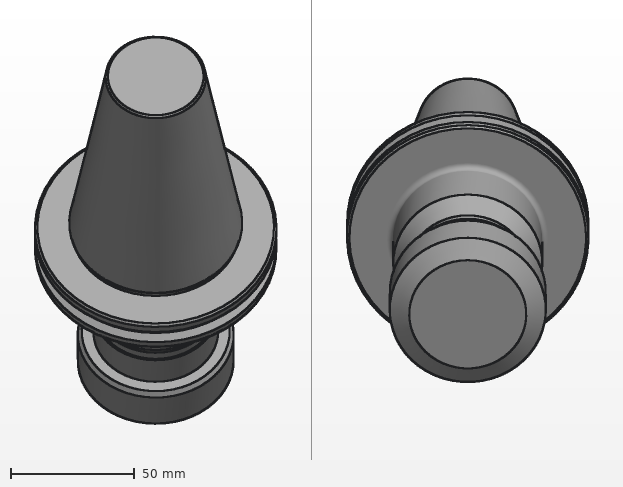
import cadquery as cq
import math

total_height = 201.8
gauge_height = 100.0
flange_top = 97.0
flange_bottom = 81.1

taper_ratio = 7 / 24
gauge_radius = 35.0
tip_chamfer = 0.8
relief_radius = 34.0
relief_step = gauge_radius - relief_radius

flange_diameter = 97.5
flange_radius = flange_diameter / 2
flange_chamfer = 1.0
groove_radius = 45.4
groove_center = 89.0
groove_floor_width = 3.6
groove_mouth_width = 7.0

body_radius = 30.0
body_bottom = 53.9
root_fillet = 2.5
neck_radius = 24.8
neck_top = 44.5
collar_radius = 25.2
collar_top = 40.4
collar_chamfer = collar_radius - neck_radius

nut_radius = 31.5
nut_top = 25.0
nut_top_chamfer_height = 2.2
nut_top_chamfer_width = 1.6
nut_face_radius = 23.6
nut_face_chamfer_height = 4.6


def taper_radius(height):
    """Radius of the taper at a height above the nut face."""
    return gauge_radius - (height - gauge_height) * taper_ratio / 2


nut_profile = [
    (0, 0),
    (nut_face_radius, 0),
    (nut_radius, nut_face_chamfer_height),
    (nut_radius, nut_top - nut_top_chamfer_height),
    (nut_radius - nut_top_chamfer_width, nut_top),
]

body_profile = [
    (collar_radius, nut_top),
    (collar_radius, collar_top - collar_chamfer),
    (neck_radius, collar_top),
    (neck_radius, neck_top),
    (body_radius, body_bottom),
    (body_radius, flange_bottom - root_fillet),
]

flange_profile = [
    (flange_radius - flange_chamfer, flange_bottom),
    (flange_radius, flange_bottom + flange_chamfer),
    (flange_radius, groove_center - groove_mouth_width / 2),
    (groove_radius, groove_center - groove_floor_width / 2),
    (groove_radius, groove_center + groove_floor_width / 2),
    (flange_radius, groove_center + groove_mouth_width / 2),
    (flange_radius, flange_top - flange_chamfer),
    (flange_radius - flange_chamfer, flange_top),
]

arc_offset = root_fillet * (1 - math.sqrt(0.5))
root_arc_middle = (body_radius + arc_offset, flange_bottom - arc_offset)
root_arc_end = (body_radius + root_fillet, flange_bottom)

tip_chamfer_bottom = total_height - tip_chamfer
shank_profile = [
    (relief_radius, flange_top),
    (relief_radius, gauge_height - relief_step),
    (gauge_radius, gauge_height),
    (taper_radius(tip_chamfer_bottom), tip_chamfer_bottom),
    (taper_radius(total_height) - tip_chamfer, total_height),
    (0, total_height),
]

result = (
    cq.Workplane("XZ")
    .polyline(nut_profile + body_profile)
    .threePointArc(root_arc_middle, root_arc_end)
    .polyline(flange_profile + shank_profile, includeCurrent=True)
    .close()
    .revolve(360, (0, 0, 0), (0, 1, 0))
)